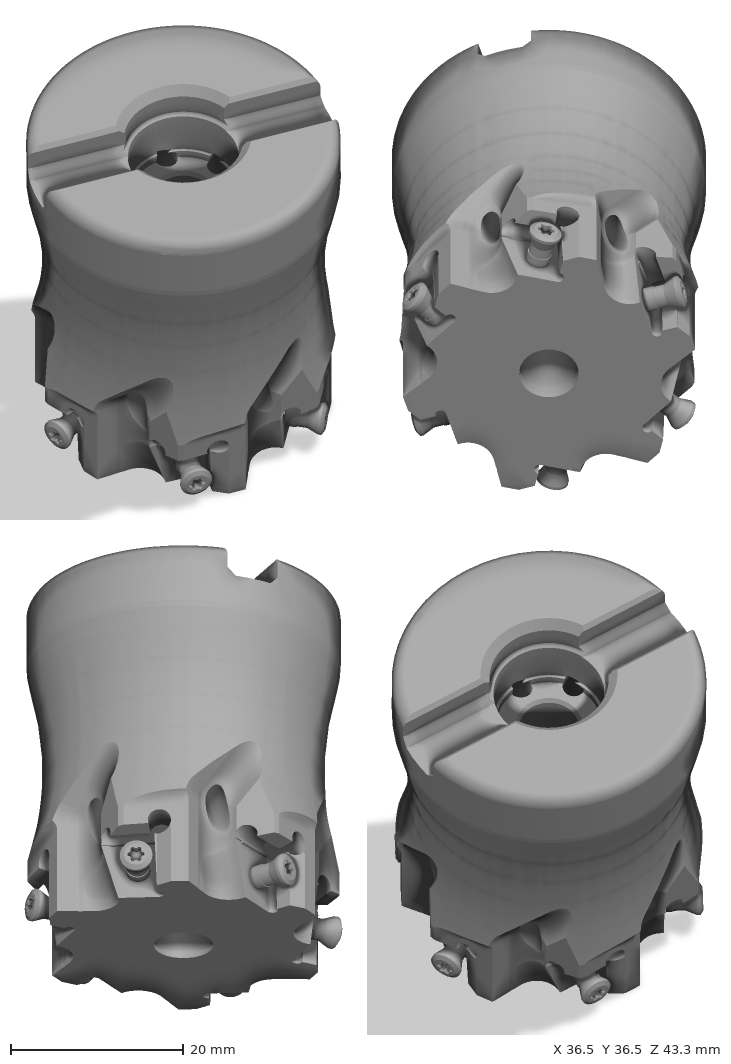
import cadquery as cq
import math


TOOTH_COUNT = 6
TOOTH_STEP = 360 / TOOTH_COUNT

HEIGHT = 43.25
FLANGE_RADIUS = 18.255
TOP_ROUND = 1.5
FLANGE_LOWER_RADIUS = 18.2
FLANGE_BOTTOM = 35.0
FLANGE_MARK = 35.7
SHOULDER_Z = 33.2
SHOULDER_RADIUS = 17.85
NECK_RADIUS = 16.38
FLARE_END = 11.35
FLARE_END_RADIUS = 17.85
TOOTH_RADIUS = 18.2
TOOTH_RADIUS_TOP = 9.95

MOUTH_RADIUS = 7.95
MOUTH_CHAMFER = 1.02
RECESS_FLOOR = 39.4
BORE_RADIUS = 6.45
BORE_EDGE_CHAMFER = 0.3
BORE_STEP = 34.0
BORE_FLOOR_RADIUS = 6.1
BORE_FLOOR = 33.0
SCREW_HOLE_RADIUS = 3.45
SCREW_HOLE_CHAMFER = 0.4
SLOT_WIDTH = 6.5
SLOT_FLOOR = 39.3
SLOT_FLOOR_CHAMFER = 1.0
SLOT_EDGE_CHAMFER = 0.5

BACK_TILT = 26.0
BACK_FOOT = (14.8, 2.8)
TROUGH_RADIUS = 2.6
TROUGH_BITE = 0.03
DIAGONAL_LEAN = math.degrees(math.atan2(3, 4))
DIAGONAL_AXIS_POINT = (7.9, 15.3)
GULLET_FLOOR = 14.2
LOWER_FOOT_OUT = 13.6
LOWER_END = (12.55, 7.82)
LOWER_RADIUS = 3.0
LOWER_LEAN = math.radians(16.5)
LOWER_TOP = 6.8

LAND_OUT = 17.2
LAND_TOP = 10.35
LAND_TOP_ROUND = 1.6
LAND_TILT = 4.7
SEAT_FLOOR = 13.1
SEAT_FRONT = -9.0
SEAT_BACK = -2.4
SEAT_TOP = 6.8
SEAT_TILT = 2.5
SEAT_SPLAY_OUT = 16.2
SEAT_TOP_RISE = 0.8
SEAT_MOUTH_BACK = -0.43
SEAT_SPLAY_FOOT = -2.1
LEAD_START = -6.3
LEAD_LEAN = 11.6
LEAD_DROP = 0.15
RELIEF_RADIUS = 0.65
TOP_RELIEF_RADIUS = 1.1
TOP_RELIEF_RISE = 0.8
CORNER_HOLE_RADIUS = 1.35
CORNER_HOLE_POINT = (-1.75, 7.95)

COOLANT_RADIUS = 1.3
COOLANT_INLET = cq.Vector(6.2, 0, BORE_FLOOR)
COOLANT_OUTLET = cq.Vector(14.0, 4.95, 10.0)

SCREW_ALONG = -4.45
SCREW_Z = 3.4
SCREW_TIP = 9.5
THREAD_TOP = 14.3
THREAD_RADIUS = 1.4
SHANK_RADIUS = 1.3
HEAD_CONE_START = 15.6
HEAD_CONE_END = 17.0
HEAD_RADIUS = 1.9
HEAD_RIM_TOP = 17.37
HEAD_TOP = 17.68
HEAD_TOP_RADIUS = 1.38
SOCKET_CORE_RADIUS = 0.75
SOCKET_LOBE_RADIUS = 0.25
SOCKET_DEPTH = 1.0

CLEAR = 8.0

TILT = math.radians(BACK_TILT)
BACK_OUTWARD = (math.cos(TILT), -math.sin(TILT))
BACK_NORMAL = (math.sin(TILT), math.cos(TILT))
LOWER_FOOT = (LOWER_FOOT_OUT, BACK_FOOT[1] + (BACK_FOOT[0] - LOWER_FOOT_OUT) * math.tan(TILT))


def envelope():
    blank = (
        cq.Workplane("XZ")
        .moveTo(0, 0)
        .lineTo(TOOTH_RADIUS, 0)
        .lineTo(TOOTH_RADIUS, TOOTH_RADIUS_TOP)
        .lineTo(FLARE_END_RADIUS, FLARE_END)
        .threePointArc((NECK_RADIUS, (FLARE_END + SHOULDER_Z) / 2), (SHOULDER_RADIUS, SHOULDER_Z))
        .lineTo(FLANGE_LOWER_RADIUS, FLANGE_BOTTOM)
        .lineTo(FLANGE_RADIUS, FLANGE_MARK)
        .lineTo(FLANGE_RADIUS, HEIGHT)
        .lineTo(0, HEIGHT)
        .close()
        .revolve(360, (0, 0, 0), (0, 1, 0))
    )
    return blank.faces(">Z").edges().fillet(TOP_ROUND)


def bore():
    return (
        cq.Workplane("XZ")
        .moveTo(0, -1)
        .lineTo(SCREW_HOLE_RADIUS, -1)
        .lineTo(SCREW_HOLE_RADIUS, BORE_FLOOR - SCREW_HOLE_CHAMFER)
        .lineTo(SCREW_HOLE_RADIUS + SCREW_HOLE_CHAMFER, BORE_FLOOR)
        .lineTo(BORE_FLOOR_RADIUS, BORE_FLOOR)
        .lineTo(BORE_FLOOR_RADIUS, BORE_STEP)
        .lineTo(BORE_RADIUS, BORE_STEP)
        .lineTo(BORE_RADIUS, RECESS_FLOOR)
        .lineTo(MOUTH_RADIUS - MOUTH_CHAMFER, RECESS_FLOOR + BORE_EDGE_CHAMFER)
        .lineTo(MOUTH_RADIUS - MOUTH_CHAMFER, HEIGHT - MOUTH_CHAMFER)
        .lineTo(MOUTH_RADIUS, HEIGHT)
        .lineTo(0, HEIGHT)
        .close()
        .revolve(360, (0, 0, 0), (0, 1, 0))
    )


def drive_slot():
    half = SLOT_WIDTH / 2
    side = [
        (half - SLOT_FLOOR_CHAMFER, SLOT_FLOOR),
        (half, SLOT_FLOOR + SLOT_FLOOR_CHAMFER),
        (half, HEIGHT - SLOT_EDGE_CHAMFER),
        (half + SLOT_EDGE_CHAMFER, HEIGHT),
    ]
    outline = side + [(-x, z) for x, z in reversed(side)]
    return cq.Workplane("XZ").polyline(outline).close().extrude(FLANGE_RADIUS + CLEAR, both=True)


def cylinder(radius, start, end):
    path = end - start
    return cq.Workplane(obj=cq.Solid.makeCylinder(radius, path.Length, start, path))


def trough_axis_from_foot(foot, reach):
    """Axis position at the given distance square off the tooth back from its foot."""
    return (foot[0] + reach * BACK_NORMAL[0], foot[1] + reach * BACK_NORMAL[1])


DIAGONAL = (math.sin(math.radians(DIAGONAL_LEAN)), math.cos(math.radians(DIAGONAL_LEAN)))


def diagonal_line(offset, along):
    """Height at `along` of the line parallel to the diagonal trough, `offset` up and back from its axis."""
    start_along = DIAGONAL_AXIS_POINT[0] - offset * DIAGONAL[1]
    start_z = DIAGONAL_AXIS_POINT[1] + offset * DIAGONAL[0]
    return start_z + (along - start_along) * DIAGONAL[1] / DIAGONAL[0]


def pocket_outline(level, back, offset, corner_round):
    """Region behind the tooth, at the given distance out: upright back, round, then the diagonal."""
    far = back + 2 * CLEAR
    corner_z = diagonal_line(offset, back)
    setback = corner_round * math.tan(math.radians(DIAGONAL_LEAN / 2))
    return (
        cq.Workplane("YZ", origin=(level, 0, 0))
        .moveTo(back, -CLEAR)
        .lineTo(back, corner_z - setback)
        .tangentArcPoint(
            (back + setback * DIAGONAL[0], corner_z + setback * DIAGONAL[1]), relative=False
        )
        .lineTo(far, diagonal_line(offset, far))
        .lineTo(far, -CLEAR)
        .close()
    )


def upper_gullet():
    """Path of a ball-ended cutter, straight up and then along the diagonal, opened outward."""
    axis_out, axis_along = trough_axis_from_foot(BACK_FOOT, TROUGH_RADIUS - TROUGH_BITE)
    bend = cq.Vector(axis_out, axis_along, diagonal_line(0, axis_along))
    upright = cylinder(TROUGH_RADIUS, cq.Vector(axis_out, axis_along, 0), bend)
    diagonal = cylinder(TROUGH_RADIUS, bend, bend + cq.Vector(0, *DIAGONAL) * 2 * CLEAR)
    corner = cq.Workplane("XY").sphere(TROUGH_RADIUS).translate(bend)
    offset = axis_along - BACK_FOOT[1]
    walls = pocket_outline(BACK_FOOT[0], BACK_FOOT[1], offset, offset).extrude(CLEAR, taper=-BACK_TILT)
    floor = pocket_outline(GULLET_FLOOR, axis_along, 0, TROUGH_BITE).extrude(CLEAR)
    return [walls, floor, upright, diagonal, corner]


def lower_gullet():
    axis = trough_axis_from_foot(LOWER_FOOT, LOWER_RADIUS)
    back_end = tuple(f + 1.5 * CLEAR * b for f, b in zip(LOWER_FOOT, BACK_OUTWARD))
    opening = (
        cq.Workplane("XY")
        .polyline([LOWER_FOOT, axis, LOWER_END, (back_end[0], LOWER_END[1]), back_end])
        .close()
        .val()
    )
    shift = LOWER_TOP * math.tan(LOWER_LEAN)
    rise = cq.Vector(shift * BACK_OUTWARD[0], shift * BACK_OUTWARD[1], LOWER_TOP)
    start = cq.Vector(*axis, 0)
    trough = cylinder(LOWER_RADIUS, start - rise, start + rise)
    return [trough, cq.Workplane(obj=cq.Solid.extrudeLinear(opening, [], rise))]


def land():
    """Flat outside the seat, with a round at its upper end."""
    cut = (
        cq.Workplane("XZ")
        .moveTo(LAND_OUT, -CLEAR)
        .lineTo(LAND_OUT, LAND_TOP)
        .radiusArc((LAND_OUT + LAND_TOP_ROUND, LAND_TOP + LAND_TOP_ROUND), LAND_TOP_ROUND)
        .lineTo(LAND_OUT + CLEAR, LAND_TOP + LAND_TOP_ROUND)
        .lineTo(LAND_OUT + CLEAR, -CLEAR)
        .close()
        .extrude(1.5 * CLEAR, both=True)
    )
    return cut.rotate((0, 0, LAND_TOP), (1, 0, LAND_TOP), LAND_TILT)


def seat():
    outer = LAND_OUT + CLEAR
    pocket = (
        cq.Workplane("XZ", origin=(0, SEAT_BACK, 0))
        .moveTo(SEAT_FLOOR, -CLEAR)
        .lineTo(SEAT_FLOOR, SEAT_TOP)
        .lineTo(LAND_OUT, SEAT_TOP + SEAT_TOP_RISE)
        .lineTo(outer, SEAT_TOP + SEAT_TOP_RISE)
        .lineTo(outer, -CLEAR)
        .close()
        .extrude(SEAT_BACK - SEAT_FRONT)
    )
    relief_start = cq.Vector(SEAT_FLOOR + RELIEF_RADIUS, SEAT_BACK, -CLEAR)
    relief = cylinder(RELIEF_RADIUS, relief_start, cq.Vector(relief_start.x, SEAT_BACK, SEAT_TOP))
    top_start = cq.Vector(SEAT_FLOOR + TOP_RELIEF_RADIUS, SEAT_BACK, SEAT_TOP + TOP_RELIEF_RISE)
    top_relief = cylinder(TOP_RELIEF_RADIUS, top_start, top_start + cq.Vector(0, -2 * CLEAR, 0))
    pivot = (0, SEAT_BACK, SEAT_TOP)
    pivot_end = (1, SEAT_BACK, SEAT_TOP)
    tilted = [part.rotate(pivot, pivot_end, SEAT_TILT) for part in (pocket, relief, top_relief)]
    splay = (SEAT_MOUTH_BACK - SEAT_SPLAY_FOOT) / (LAND_OUT - SEAT_SPLAY_OUT)
    splayed_back = (
        cq.Workplane("XY")
        .moveTo(SEAT_SPLAY_OUT, SEAT_SPLAY_FOOT)
        .lineTo(outer, SEAT_SPLAY_FOOT + splay * (outer - SEAT_SPLAY_OUT))
        .lineTo(outer, 2 * SEAT_SPLAY_FOOT)
        .lineTo(SEAT_SPLAY_OUT, 2 * SEAT_SPLAY_FOOT)
        .close()
        .extrude(SEAT_TOP + SEAT_TOP_RISE / 2)
    )
    corner = cq.Vector(SEAT_FLOOR, *CORNER_HOLE_POINT)
    corner_hole = cylinder(CORNER_HOLE_RADIUS, corner, corner + cq.Vector(CLEAR, 0, 0))
    return [*tilted, splayed_back, corner_hole]


def seat_lead():
    """Strip sloping down from the seat floor into the gullet, leaning with the gullet."""
    strip = (
        cq.Workplane("XY")
        .polyline(
            [
                (SEAT_FLOOR, LEAD_START),
                (SEAT_FLOOR - LEAD_DROP, SEAT_FRONT),
                (SEAT_FLOOR + 1, SEAT_FRONT),
                (SEAT_FLOOR + 1, LEAD_START),
            ]
        )
        .close()
        .val()
    )
    rise = cq.Vector(0, -SEAT_TOP * math.tan(math.radians(LEAD_LEAN)), SEAT_TOP)
    return cq.Workplane(obj=cq.Solid.extrudeLinear(strip, [], rise))


def coolant_hole():
    path = (COOLANT_OUTLET - COOLANT_INLET).normalized()
    return cylinder(COOLANT_RADIUS, COOLANT_INLET - path, COOLANT_OUTLET + path * 2)


def screw_blank():
    profile = [
        (0, SCREW_TIP),
        (THREAD_RADIUS, SCREW_TIP),
        (THREAD_RADIUS, THREAD_TOP),
        (SHANK_RADIUS, THREAD_TOP),
        (SHANK_RADIUS, HEAD_CONE_START),
        (HEAD_RADIUS, HEAD_CONE_END),
        (HEAD_RADIUS, HEAD_RIM_TOP),
        (HEAD_TOP_RADIUS, HEAD_TOP),
        (0, HEAD_TOP),
    ]
    upright = cq.Workplane("XZ").polyline(profile).close().revolve(360, (0, 0, 0), (0, 1, 0))
    return upright.rotate((0, 0, 0), (0, 1, 0), 90).translate((0, SCREW_ALONG, SCREW_Z))


def screw():
    face = cq.Workplane("YZ", origin=(HEAD_TOP - SOCKET_DEPTH, SCREW_ALONG, SCREW_Z))
    core = face.circle(SOCKET_CORE_RADIUS).extrude(2 * SOCKET_DEPTH)
    lobes = face.polarArray(SOCKET_CORE_RADIUS, 0, 360, 6).circle(SOCKET_LOBE_RADIUS)
    return screw_blank().cut(core).cut(lobes.extrude(2 * SOCKET_DEPTH))


def around_axis(shape, index):
    return shape.rotate((0, 0, 0), (0, 0, 1), index * TOOTH_STEP)


def cutter_body():
    body = envelope().cut(bore()).cut(drive_slot())
    tooth_cuts = [
        land(),
        *seat(),
        seat_lead(),
        *upper_gullet(),
        *lower_gullet(),
        coolant_hole(),
        screw_blank(),
    ]
    for index in range(TOOTH_COUNT):
        for cut in tooth_cuts:
            body = body.cut(around_axis(cut, index))
    return body


body = cutter_body()
screws = [around_axis(screw(), index) for index in range(TOOTH_COUNT)]
result = cq.Compound.makeCompound([body.val(), *(item.val() for item in screws)])